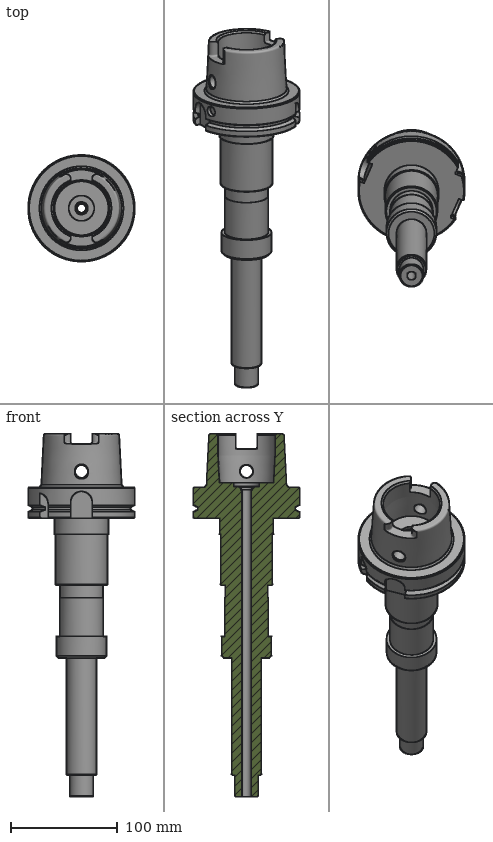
import cadquery as cq
import math

total_height = 339.7
taper_length = 50.0
flange_top = total_height - taper_length
flange_width = 29.2
flange_bottom = flange_top - flange_width
neck_bottom = 245.5
body_bottom = 197.7
spigot_step = 186.0
collar_top = 150.0
collar_bottom = 129.8
stem_bottom = 20.0

flange_diameter = 100.0
taper_top_diameter = 70.5
taper_base_diameter = 75.5
neck_diameter = 51.0
body_diameter = 49.0
spigot_upper_diameter = 40.5
spigot_lower_diameter = 40.8
collar_diameter = 47.0
stem_diameter = 28.2
tip_diameter = 22.5

cut_clearance = 3.5

small_chamfer = 1.0
collar_chamfer = 2.0
base_flare_width = 1.7
base_flare_height = 2.0
rim_fillet = 2.0
bore_chamfer = 1.7

groove_diameter = 92.0
groove_center = 269.7
groove_opening = 6.5
groove_root_width = 2.5

bore_diameter = 53.0
bore_length = 20.5
bore_floor_diameter = 50.3
bore_floor = 294.0
counterbore_diameter = 23.8
counterbore_depth = 3.5
coolant_diameter = 8.0
coolant_entry_diameter = 10.5
coolant_entry_depth = 3.5
coolant_mouth_diameter = 12.0
coolant_mouth_depth = 1.0

access_diameter = 12.0
access_mouth_diameter = 14.0
access_mouth_position = 37.0
access_height = 304.5

slot_width = 20.0
slot_depth_front = 9.5
slot_depth_back = 14.3
slot_start = 13.5
slot_mouth_radius = 4.0
slot_floor_fillet = 1.7
keyway_floor = 43.8
keyway_peak = 285.7
corner_notch_floor = 31.3
corner_notch_peak = 284.3

chip_diameter = 9.5
chip_depth = 4.5
chip_height = 282.0
chip_angle = 110


def cylinder(diameter, bottom, top):
    """Upright cylinder on the Z axis between two heights."""
    return cq.Workplane("XY").workplane(offset=bottom).circle(diameter / 2).extrude(top - bottom)


def make_flange():
    """Flange disc with a trapezoidal groove around its rim."""
    disc = cylinder(flange_diameter, flange_bottom, flange_top)
    disc = disc.faces("<Z or >Z").chamfer(small_chamfer)
    outer = flange_diameter / 2
    root = groove_diameter / 2
    groove = (
        cq.Workplane("XZ")
        .moveTo(root, groove_center - groove_root_width / 2)
        .lineTo(outer, groove_center - groove_opening / 2)
        .lineTo(outer + cut_clearance, groove_center - groove_opening / 2)
        .lineTo(outer + cut_clearance, groove_center + groove_opening / 2)
        .lineTo(outer, groove_center + groove_opening / 2)
        .lineTo(root, groove_center + groove_root_width / 2)
        .close()
        .revolve(360, (0, 0, 0), (0, 1, 0))
    )
    return disc.cut(groove)


def make_taper():
    """Hollow-shank cone, flared at its foot and rounded at its rim."""
    base = taper_base_diameter / 2
    profile = (
        cq.Workplane("XZ")
        .moveTo(0, flange_top)
        .lineTo(base + base_flare_width, flange_top)
        .lineTo(base, flange_top + base_flare_height)
        .lineTo(taper_top_diameter / 2, total_height)
        .lineTo(0, total_height)
        .close()
    )
    taper = profile.revolve(360, (0, 0, 0), (0, 1, 0))
    return taper.faces(">Z").edges().fillet(rim_fillet)


def make_shank():
    """Stack of turned steps hanging below the flange."""
    neck = cylinder(neck_diameter, neck_bottom, flange_bottom)
    body = cylinder(body_diameter, body_bottom, neck_bottom).faces("<Z").chamfer(small_chamfer)
    spigot_upper = cylinder(spigot_upper_diameter, spigot_step, body_bottom)
    spigot_lower = cylinder(spigot_lower_diameter, collar_top, spigot_step)
    collar = cylinder(collar_diameter, collar_bottom, collar_top).faces("<Z").chamfer(collar_chamfer)
    stem = cylinder(stem_diameter, stem_bottom, collar_bottom).faces("<Z").chamfer(small_chamfer)
    tip = cylinder(tip_diameter, 0, stem_bottom).faces("<Z").chamfer(small_chamfer)
    shank = neck
    for step in (body, spigot_upper, spigot_lower, collar, stem, tip):
        shank = shank.union(step)
    return shank


def make_bore():
    """Tapering bore from the rim, with a counterbore and a stepped coolant hole below it."""
    bore = bore_diameter / 2
    shoulder = total_height - bore_length
    cavity = (
        cq.Workplane("XZ")
        .moveTo(0, bore_floor)
        .lineTo(bore_floor_diameter / 2, bore_floor)
        .lineTo(bore, shoulder)
        .lineTo(bore, total_height - bore_chamfer)
        .lineTo(bore + bore_chamfer, total_height)
        .lineTo(0, total_height)
        .close()
        .revolve(360, (0, 0, 0), (0, 1, 0))
    )
    cavity = cavity.union(cylinder(counterbore_diameter, bore_floor - counterbore_depth, bore_floor))
    entry_top = bore_floor - counterbore_depth
    entry = cylinder(coolant_entry_diameter, entry_top - coolant_entry_depth, entry_top)
    mouth = cylinder(coolant_mouth_diameter, entry_top - coolant_mouth_depth, entry_top)
    cavity = cavity.union(entry).union(mouth)
    return cavity.union(cylinder(coolant_diameter, 0, bore_floor))


def make_access_hole():
    """Hole across the taper along Y, countersunk where it breaks the outer surface."""
    wide = access_mouth_diameter / 2
    narrow = access_diameter / 2
    mouth_start = access_mouth_position - (wide - narrow)
    reach = flange_diameter / 2
    half_hole = (
        cq.Workplane("XY", origin=(0, 0, access_height))
        .moveTo(0, 0)
        .lineTo(narrow, 0)
        .lineTo(narrow, mouth_start)
        .lineTo(wide, access_mouth_position)
        .lineTo(wide, reach)
        .lineTo(0, reach)
        .close()
        .revolve(360, (0, 0, 0), (0, 1, 0))
    )
    return half_hole.union(half_hole.mirror("XZ"))


def make_drive_slot(depth):
    """Slot on the -Y side of the rim whose walls round outwards at the mouth."""
    half = slot_width / 2
    rim = taper_top_diameter / 2
    radius = slot_mouth_radius
    arc_x = half + radius
    arc_y = math.sqrt((rim - radius) ** 2 - arc_x ** 2)
    end_x = arc_x * rim / (rim - radius)
    end_y = arc_y * rim / (rim - radius)
    middle = (math.pi + math.atan2(arc_y, arc_x)) / 2
    mid_x = arc_x + radius * math.cos(middle)
    mid_y = arc_y + radius * math.sin(middle)
    outside = flange_diameter / 2
    slot = (
        cq.Workplane("XY")
        .workplane(offset=total_height - depth)
        .moveTo(-half, -slot_start)
        .lineTo(half, -slot_start)
        .lineTo(half, -arc_y)
        .threePointArc((mid_x, -mid_y), (end_x, -end_y))
        .lineTo(end_x, -outside)
        .lineTo(-end_x, -outside)
        .lineTo(-end_x, -end_y)
        .threePointArc((-mid_x, -mid_y), (-half, -arc_y))
        .close()
        .extrude(depth + cut_clearance)
    )
    return slot.faces("<Z").edges().fillet(slot_floor_fillet)


def make_keyway(center_x, floor, peak):
    """Round-topped keyway on the -Y side, open at the bottom of the flange."""
    half = slot_width / 2
    return (
        cq.Workplane("XZ", origin=(0, -floor, 0))
        .moveTo(center_x - half, flange_bottom)
        .lineTo(center_x + half, flange_bottom)
        .lineTo(center_x + half, peak - half)
        .threePointArc((center_x, peak), (center_x - half, peak - half))
        .close()
        .extrude(flange_diameter / 2)
    )


def make_chip_hole():
    """Radial blind hole in the flange rim."""
    angle = math.radians(chip_angle)
    direction = cq.Vector(math.cos(angle), math.sin(angle), 0)
    start = direction * (flange_diameter / 2 - chip_depth) + cq.Vector(0, 0, chip_height)
    length = chip_depth + cut_clearance
    return cq.Workplane(cq.Solid.makeCylinder(chip_diameter / 2, length, start, direction))


result = make_flange().union(make_taper()).union(make_shank())
result = result.cut(make_bore()).cut(make_access_hole())
result = result.cut(make_drive_slot(slot_depth_front))
result = result.cut(make_drive_slot(slot_depth_back).rotate((0, 0, 0), (0, 0, 1), 180))

keyway = make_keyway(0, keyway_floor, keyway_peak)
corner_notch = make_keyway(-corner_notch_floor - slot_width / 2, corner_notch_floor, corner_notch_peak)
result = result.cut(keyway).cut(keyway.mirror("XZ")).cut(corner_notch)
result = result.cut(make_chip_hole())